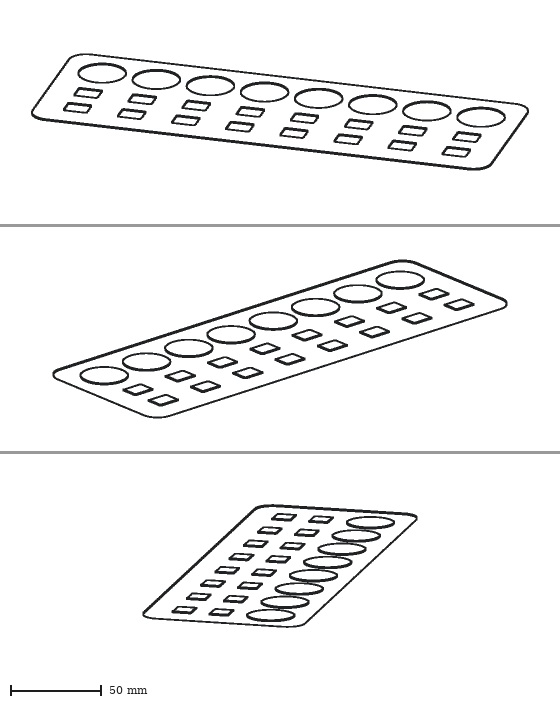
import cadquery as cq

plate_length = 263.7
plate_width = 92.0
plate_thickness = 0.8
plate_corner_radius = 10.0

column_count = 8
column_pitch = 31.0
hole_diameter = 26.5
hole_row_y = 23.2
window_length = 13.5
window_width = 10.8
window_corner_radius = 1.0
upper_window_row_y = -5.0
window_row_pitch = 21.0

first_column_x = -column_pitch * (column_count - 1) / 2
column_xs = [first_column_x + column_pitch * i for i in range(column_count)]
window_row_ys = [upper_window_row_y, upper_window_row_y - window_row_pitch]


def rounded_block(length, width, corner_radius):
    """Plate-thick rectangular block with rounded vertical edges, standing on Z = 0."""
    block = cq.Workplane("XY").rect(length, width).extrude(plate_thickness)
    return block.edges("|Z").fillet(corner_radius)


def round_holes():
    """Row of cylinders that cut the round holes through the plate."""
    centers = [(x, hole_row_y) for x in column_xs]
    return cq.Workplane("XY").pushPoints(centers).circle(hole_diameter / 2).extrude(plate_thickness)


def windows():
    """Grid of rounded blocks that cut the windows through the plate."""
    window = rounded_block(window_length, window_width, window_corner_radius).val()
    centers = [(x, y) for y in window_row_ys for x in column_xs]
    return cq.Workplane("XY").pushPoints(centers).eachpoint(lambda place: window.moved(place))


plate = rounded_block(plate_length, plate_width, plate_corner_radius)
result = plate.cut(round_holes()).cut(windows())